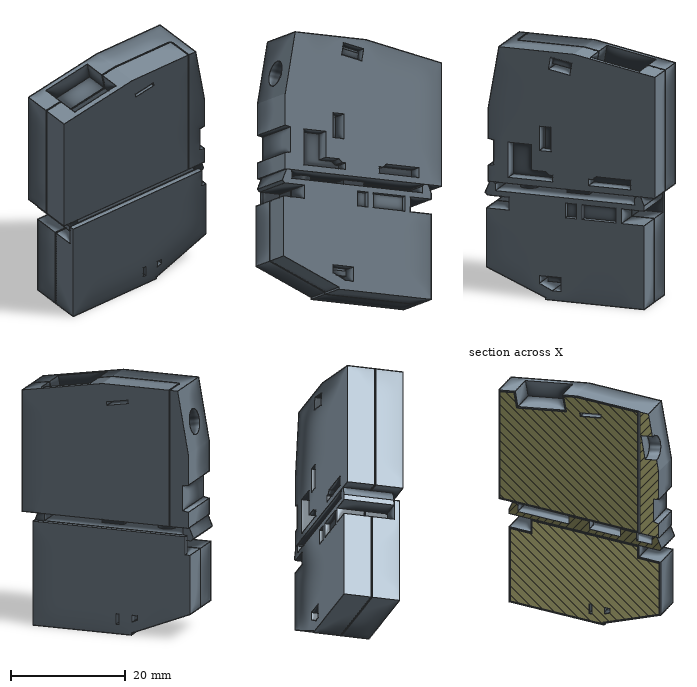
import cadquery as cq
import math

width = 10.1
height = 44.9
seam_gap = 0.2
seam_groove = 0.22
seam_x = (width - seam_gap) / 2

upper_bottom = 20.35
upper_back = 31.03
slope_angle = 10.0
label_face_back = 15.05
back_slope_base = 33.68
back_notch_y = 30.0
back_notch_bottom = 23.45
back_notch_top = 27.9
back_notch_flare = 0.22
back_wall_y = 27.55
back_wall_corner = 0.65

label_x = 0.9
label_width = 8.13
label_front = 3.2
label_back = 12.3
label_depth = 3.0

knob_hole_diameter = 4.55
knob_hole_depth = 2.25
knob_hole_y = 30.2

upper_pocket_depth = 2.6
pocket_floor_z = 21.4
pocket_step_z = 22.6
pocket_top_z = 23.15
pocket_bevel = 0.67
rear_pocket_front = 19.05
rear_pocket_shaft_front = 22.95
rear_pocket_back = 27.3
rear_pocket_shaft_top = 27.8
rear_pocket_step = 0.67
front_pocket_front = 4.55
front_pocket_back = 12.35
front_pocket_step = 0.75

lower_front = 2.0
lower_back = 31.35
front_notch_y = 6.2
front_notch_z = 15.18
rear_notch_y = 27.15
rear_notch_z = 15.5
plate_bottom = 17.83
plate_top = 18.75
plate_width = 9.05
front_hook_tip_front = 2.65
front_hook_tip_back = 3.55
rear_hook_tip_front = 29.85
rear_hook_tip_back = 30.75
front_hook_inside = 3.75
rear_hook_inside = 29.7
hook_tip_bevel = 0.35
rear_hook_nose_y = 31.6
rear_hook_nose_z = 18.27
rear_hook_root_y = 31.1
side_wall_x = 9.2
side_wall_back = 30.45
base_slope_top = 4.8
base_slope_bottom = 0.35
base_slope_y = 20.4
lower_pocket_depth = 1.0
lower_pockets = [(14.65, 16.65), (7.27, 13.55)]

pin_diameter = 3.25
pin_y = 25.15
block_front = 13.55
block_back = 17.6
block_width = 3.15

nose_depth = 3.25
nose_chamfer = 0.5

top_window_y = 17.65
top_window_z = 42.48
top_window_length = 4.05
top_window_height = 2.2
top_nose_height = 1.55

middle_window_front = 19.35
middle_window_back = 21.5
middle_window_bottom = 26.85
middle_window_top = 31.25
middle_nose_front = 20.1

base_window_front = 17.5
base_window_back = 21.5
base_window_bottom = 1.7
base_window_top = 4.2
base_window_corner_y = 19.1
base_window_corner_z = 2.85
base_opening_top = 3.6
base_nose_front = 18.05
base_nose_back = 20.55
base_nose_bottom = 2.85


def side_prism(points, x_start, x_end):
    """Prism with a YZ outline, running from x_start to x_end."""
    return cq.Workplane("YZ", origin=(x_start, 0, 0)).polyline(points).close().extrude(x_end - x_start)


def block(x_range, y_range, z_range):
    """Axis-aligned block given by its (low, high) ranges."""
    return cq.Workplane("XY").box(
        x_range[1] - x_range[0], y_range[1] - y_range[0], z_range[1] - z_range[0], centered=False
    ).translate((x_range[0], y_range[0], z_range[0]))


def seam_lip(points):
    """Thin layer of a right half that reaches the seam plane, inset to leave the groove around it."""
    outline = cq.Workplane("YZ", origin=(seam_x, 0, 0)).polyline(points).close()
    return outline.offset2D(-seam_groove, "intersection").extrude(seam_gap)


def latch_nose(length, nose_height):
    """Nose centred in Y and Z on the origin, pointing to -X, with its upper outer edge chamfered."""
    nose = cq.Workplane("XY").box(nose_depth, length, nose_height).translate((-nose_depth / 2, 0, 0))
    return nose.edges("<X and >Z").chamfer(nose_chamfer)


slope = math.tan(math.radians(slope_angle))
label_face_drop = label_face_back * slope
back_slope_run = (height - back_slope_base) * slope

upper_outline = [
    (0, upper_bottom),
    (0, height - label_face_drop),
    (label_face_back, height),
    (upper_back - back_slope_run, height),
    (upper_back, back_slope_base),
    (upper_back, back_notch_top + back_notch_flare),
    (back_notch_y, back_notch_top),
    (back_notch_y, back_notch_bottom),
    (upper_back, back_notch_bottom - back_notch_flare),
    (upper_back, upper_bottom),
]


def label_recess(clearance=0.0):
    """Rectangular recess sunk square to the label face, grown by the clearance on its sides and floor."""
    mid_y = (label_front + label_back) / 2
    mid_z = height - (label_face_back - mid_y) * slope
    length = (label_back - label_front) / math.cos(math.radians(slope_angle)) + 2 * clearance
    depth = label_depth + clearance
    recess = cq.Workplane("XY").box(label_width + 2 * clearance, length, 2 * depth)
    recess = recess.rotate((0, 0, 0), (1, 0, 0), slope_angle)
    return recess.translate((label_x + label_width / 2, mid_y, mid_z))


def right_half_space(y_end, x_start, corner_radius):
    """Region in front of y_end and beyond x_start, its inner rear corner rounded."""
    region = block((x_start, width), (0, y_end), (0, height))
    return region.edges("|Z and <X and >Y").fillet(corner_radius)


def knob_hole():
    """Blind round hole square to the leaning upper back face."""
    hole_z = back_slope_base + (upper_back - knob_hole_y) / slope
    angle = math.radians(slope_angle)
    plane = cq.Plane(
        origin=(width / 2, knob_hole_y, hole_z),
        xDir=(1, 0, 0),
        normal=(0, -math.cos(angle), -math.sin(angle)),
    )
    return cq.Workplane(plane).circle(knob_hole_diameter / 2).extrude(knob_hole_depth)


def upper_pockets():
    """Stepped pockets in the left side face, low on the housing."""
    rear_bevel = rear_pocket_front + rear_pocket_step
    rear = [
        (rear_pocket_front, pocket_floor_z),
        (rear_pocket_front, pocket_step_z),
        (rear_bevel, pocket_step_z),
        (rear_bevel + pocket_bevel, pocket_top_z),
        (rear_pocket_shaft_front, pocket_top_z),
        (rear_pocket_shaft_front, rear_pocket_shaft_top),
        (rear_pocket_back, rear_pocket_shaft_top),
        (rear_pocket_back, pocket_floor_z),
    ]
    front_bevel = front_pocket_back - front_pocket_step
    front = [
        (front_pocket_front, pocket_floor_z),
        (front_pocket_front, pocket_top_z),
        (front_bevel - pocket_bevel, pocket_top_z),
        (front_bevel, pocket_step_z),
        (front_pocket_back, pocket_step_z),
        (front_pocket_back, pocket_floor_z),
    ]
    return side_prism(rear, 0, upper_pocket_depth).union(side_prism(front, 0, upper_pocket_depth))


def place_in_top_window(shape, x, offset):
    """Moves a shape to the tilted top window, offset along the window's height."""
    shape = shape.translate((0, 0, offset)).rotate((0, 0, 0), (1, 0, 0), slope_angle)
    return shape.translate((x, top_window_y, top_window_z))


def top_window():
    """Tilted window through the left half."""
    window = cq.Workplane("XY").box(seam_x, top_window_length, top_window_height)
    return place_in_top_window(window, seam_x / 2, 0)


def top_opening():
    """Strip of the top window below the nose, continued through the right half."""
    strip_height = top_window_height - top_nose_height
    strip = cq.Workplane("XY").box(width, top_window_length, strip_height)
    return place_in_top_window(strip, seam_x + width / 2, -top_nose_height / 2)


def upper_noses():
    """Latch noses reaching into the top and middle windows."""
    top = latch_nose(top_window_length, top_nose_height)
    top = place_in_top_window(top, seam_x, (top_window_height - top_nose_height) / 2)
    middle = latch_nose(middle_window_top - middle_window_bottom, middle_window_back - middle_nose_front)
    middle = middle.rotate((0, 0, 0), (1, 0, 0), -90)
    middle_y = (middle_window_back + middle_nose_front) / 2
    middle_z = (middle_window_top + middle_window_bottom) / 2
    return top, middle.translate((seam_x, middle_y, middle_z))


def make_upper_left():
    """Left upper half, with the full-width wall at the back."""
    body = side_prism(upper_outline, 0, width)
    body = body.cut(right_half_space(back_wall_y, seam_x, back_wall_corner))
    body = body.cut(label_recess()).cut(knob_hole()).cut(upper_pockets()).cut(top_window())
    middle_window = block(
        (0, seam_x),
        (middle_window_front, middle_window_back),
        (middle_window_bottom, middle_window_top),
    )
    return body.cut(middle_window)


def make_upper_right():
    """Right upper half, fitted in front of the back wall."""
    region = right_half_space(back_wall_y - seam_gap, seam_x + seam_gap, back_wall_corner - seam_gap)
    body = side_prism(upper_outline, 0, width).intersect(region).cut(label_recess())
    lip_region = block((seam_x, width), (0, back_wall_y - back_wall_corner), (0, height))
    lip = seam_lip(upper_outline).intersect(lip_region).cut(label_recess(seam_groove))
    body = body.union(lip).cut(top_opening())
    for nose in upper_noses():
        body = body.union(nose)
    return body


core_outline = [
    (lower_front, 0),
    (lower_front, front_notch_z),
    (front_notch_y, front_notch_z),
    (front_notch_y, plate_bottom),
    (rear_notch_y, plate_bottom),
    (rear_notch_y, rear_notch_z),
    (lower_back, rear_notch_z),
    (lower_back, base_slope_top),
    (base_slope_y, base_slope_bottom),
    (base_slope_y, 0),
]

side_wall_outline = [
    (lower_front, 0),
    (lower_front, plate_top),
    (side_wall_back, plate_top),
    (side_wall_back, rear_notch_z),
    (lower_back, rear_notch_z),
    (lower_back, base_slope_top),
    (base_slope_y, base_slope_bottom),
    (base_slope_y, 0),
]

plate_outline = [
    (lower_front, plate_bottom),
    (lower_front, plate_top),
    (front_hook_tip_front, upper_bottom),
    (front_hook_tip_back, upper_bottom),
    (front_hook_inside, upper_bottom - hook_tip_bevel),
    (front_hook_inside, plate_top),
    (rear_hook_inside, plate_top),
    (rear_hook_inside, upper_bottom - hook_tip_bevel),
    (rear_hook_tip_front, upper_bottom),
    (rear_hook_tip_back, upper_bottom),
    (rear_hook_nose_y, rear_hook_nose_z),
    (rear_hook_root_y, plate_bottom),
]

base_window_outline = [
    (base_window_front, base_window_bottom),
    (base_window_front, base_window_top),
    (base_window_back, base_window_top),
    (base_window_back, base_window_corner_z),
    (base_window_corner_y, base_window_bottom),
]


def base_opening():
    """Gaps on both sides of the base nose, through the right half."""
    opening = side_prism(base_window_outline, seam_x, width)
    above = block((0, width), (0, lower_back), (base_opening_top, height))
    column = block((0, width), (base_nose_front, base_nose_back), (0, height))
    return opening.cut(above).cut(column)


def base_nose():
    """Latch nose reaching into the base window."""
    nose = latch_nose(base_nose_back - base_nose_front, base_window_top - base_nose_bottom)
    nose_y = (base_nose_front + base_nose_back) / 2
    nose_z = (base_window_top + base_nose_bottom) / 2
    return nose.translate((seam_x, nose_y, nose_z))


def spacers():
    """Round pin and rectangular block standing on the plate, reaching the upper housing."""
    pin = cq.Workplane("XY", origin=(seam_x, pin_y, plate_top)).circle(pin_diameter / 2)
    pin = pin.extrude(upper_bottom - plate_top)
    half_width = block_width / 2
    stop = block(
        (seam_x - half_width, seam_x + half_width),
        (block_front, block_back),
        (plate_top, upper_bottom),
    )
    return pin, stop


def make_lower_left():
    """Left lower half, carrying the hooked plate that also covers the right half."""
    body = side_prism(core_outline, 0, seam_x).union(side_prism(plate_outline, 0, plate_width))
    for pocket_front, pocket_back in lower_pockets:
        pocket = block((0, lower_pocket_depth), (pocket_front, pocket_back), (front_notch_z, plate_bottom))
        body = body.cut(pocket)
    for spacer in spacers():
        body = body.union(spacer)
    return body.cut(side_prism(base_window_outline, 0, seam_x))


def make_lower_right():
    """Right lower half, with the side wall beside the plate."""
    body = side_prism(core_outline, seam_x + seam_gap, side_wall_x)
    body = body.union(side_prism(side_wall_outline, side_wall_x, width))
    body = body.union(seam_lip(core_outline))
    return body.cut(base_opening()).union(base_nose())


upper_left = make_upper_left()
upper_right = make_upper_right()
lower_left = make_lower_left()
lower_right = make_lower_right()

result = cq.Compound.makeCompound(
    [upper_left.val(), upper_right.val(), lower_left.val(), lower_right.val()]
)